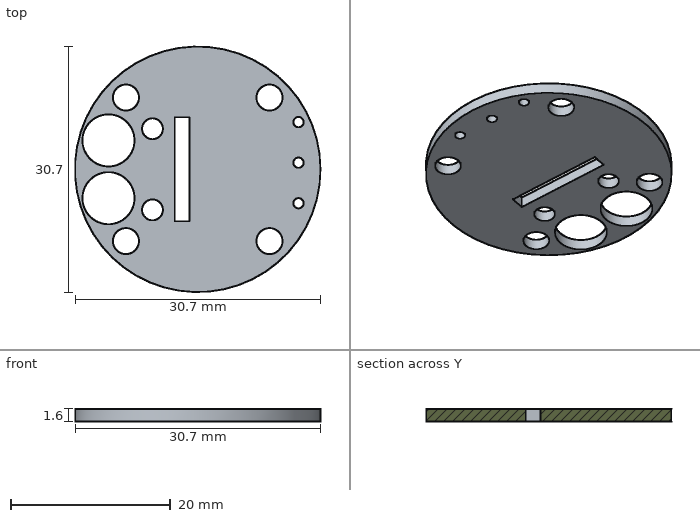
import cadquery as cq

disc_diameter = 30.73
thickness = 1.6

mount_diameter = 3.23
mount_pitch = 17.95

large_diameter = 6.48
large_x = -11.15
large_pitch = 7.22

medium_diameter = 2.58
medium_x = -5.65
pin_pitch = 5.07
medium_pitch = 2 * pin_pitch

pin_diameter = 1.25
pin_x = 12.6
pin_middle_y = 0.83
pin_count = 3

slot_width = 1.8
slot_length = 12.97
slot_x = -1.95


def hole_grid(diameter, x, y, x_pitch, y_pitch, x_count, y_count):
    """Through cutters on a grid centred at (x, y)."""
    return (
        cq.Workplane("XY")
        .center(x, y)
        .rarray(x_pitch, y_pitch, x_count, y_count)
        .circle(diameter / 2)
        .extrude(thickness)
    )


def hole_column(diameter, x, y, pitch, count):
    """Through cutters in a column along Y, centred at (x, y)."""
    return hole_grid(diameter, x, y, pitch, pitch, 1, count)


disc = cq.Workplane("XY").circle(disc_diameter / 2).extrude(thickness)
slot = cq.Workplane("XY").center(slot_x, 0).rect(slot_width, slot_length).extrude(thickness)

result = (
    disc.cut(hole_grid(mount_diameter, 0, 0, mount_pitch, mount_pitch, 2, 2))
    .cut(hole_column(large_diameter, large_x, 0, large_pitch, 2))
    .cut(hole_column(medium_diameter, medium_x, 0, medium_pitch, 2))
    .cut(hole_column(pin_diameter, pin_x, pin_middle_y, pin_pitch, pin_count))
    .cut(slot)
)